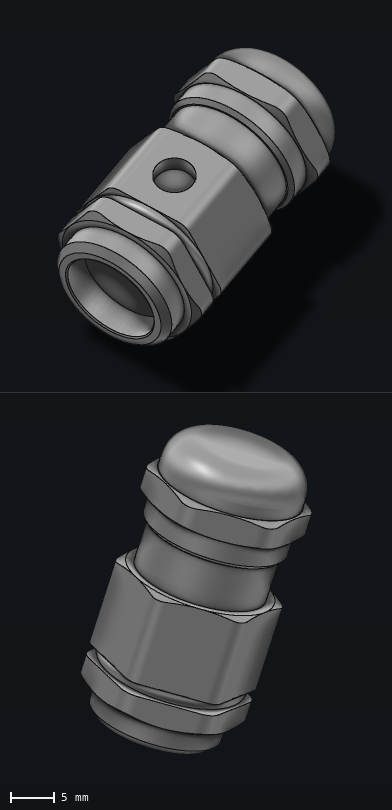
import cadquery as cq
import math


LOCKNUT_START = 3.5
LOCKNUT_END = 6.5
BODY_HEX_START = 8.0
BODY_HEX_END = 19.0
CAP_START = 24.66
CAP_HEX_START = 27.66
CAP_HEX_END = 31.2
TOTAL_LENGTH = 36.16

BARREL_DIAMETER = 16.0
BARREL_CHAMFER = 0.9
CAP_DIAMETER = 17.5
CAP_CHAMFER = 0.55
DOME_RADIUS = 3.5
SEAL_DIAMETER = 18.2
SEAL_CORD_RADIUS = 1.0

ACROSS_FLATS = 18.0
ACROSS_CORNERS = ACROSS_FLATS / math.cos(math.radians(30))
BODY_CORNER_RADIUS = 2.0
NUT_CORNER_RADIUS = 2.5
CAP_HEX_FACE_DIAMETER = 17.6
HEX_CHAMFER_ANGLE = 22.0
LOCKNUT_CHAMFER_ANGLE = 30.0

BORE_DIAMETER = 12.0
BORE_DEPTH = 3.67
BORE_CHAMFER = 0.18
SIDE_HOLE_DIAMETER = 5.0
SIDE_HOLE_DEPTH = 2.15
SIDE_HOLE_Y = 13.35


def plane_at(y):
    """XZ plane at station y whose normal points along +Y."""
    return cq.Plane(origin=(0, y, 0), xDir=(1, 0, 0), normal=(0, 1, 0))


def cylinder(diameter, start, end):
    """Solid cylinder on the Y axis between two stations."""
    return cq.Workplane(plane_at(start)).circle(diameter / 2).extrude(end - start)


def chamfer_envelope(start, end, face_diameter, angle, at_start, at_end):
    """Turned blank whose conical ends trim the corners of a hexagon."""
    face_radius = face_diameter / 2
    outer_radius = ACROSS_CORNERS / 2
    drop = (outer_radius - face_radius) * math.tan(math.radians(angle))
    profile = cq.Workplane("XY").moveTo(0, start)
    if at_start:
        profile = profile.lineTo(face_radius, start).lineTo(outer_radius, start + drop)
    else:
        profile = profile.lineTo(outer_radius, start)
    if at_end:
        profile = profile.lineTo(outer_radius, end - drop).lineTo(face_radius, end)
    else:
        profile = profile.lineTo(outer_radius, end)
    return profile.lineTo(0, end).close().revolve(360, (0, 0, 0), (0, 1, 0))


def hexagon(start, end, corner_radius, face_diameter, angle, at_start, at_end):
    """Hexagonal prism with rounded corners, flats facing +Z and -Z."""
    prism = (
        cq.Workplane(plane_at(start))
        .polygon(6, ACROSS_CORNERS)
        .extrude(end - start)
        .edges("|Y")
        .fillet(corner_radius)
    )
    return prism.intersect(chamfer_envelope(start, end, face_diameter, angle, at_start, at_end))


def barrel():
    """Round core of the gland, chamfered at the threaded end."""
    return cylinder(BARREL_DIAMETER, 0, CAP_START).faces("<Y").chamfer(BARREL_CHAMFER)


def cap():
    """Cap with a domed far end and a small chamfer facing the body."""
    blank = cylinder(CAP_DIAMETER, CAP_START, TOTAL_LENGTH)
    return blank.faces(">Y").edges().fillet(DOME_RADIUS).faces("<Y").edges().chamfer(CAP_CHAMFER)


def seal_ring():
    """O-ring resting on the locknut, its far side buried in the body hexagon."""
    centre_radius = SEAL_DIAMETER / 2 - SEAL_CORD_RADIUS
    centre_y = LOCKNUT_END + SEAL_CORD_RADIUS
    return (
        cq.Workplane("XY")
        .center(-centre_radius, centre_y)
        .circle(SEAL_CORD_RADIUS)
        .revolve(360, (centre_radius, 0, 0), (centre_radius, 1, 0))
    )


def bore():
    """Blind bore in the threaded end, with a slightly broken rim."""
    radius = BORE_DIAMETER / 2
    return (
        cq.Workplane("XY")
        .lineTo(radius + BORE_CHAMFER, 0)
        .lineTo(radius, BORE_CHAMFER)
        .lineTo(radius, BORE_DEPTH)
        .lineTo(0, BORE_DEPTH)
        .close()
        .revolve(360, (0, 0, 0), (0, 1, 0))
    )


def side_hole():
    """Blind round hole in the upper flat of the body hexagon."""
    return (
        cq.Workplane("XY", origin=(0, SIDE_HOLE_Y, ACROSS_FLATS / 2))
        .circle(SIDE_HOLE_DIAMETER / 2)
        .extrude(-SIDE_HOLE_DEPTH)
    )


locknut = hexagon(
    LOCKNUT_START, LOCKNUT_END, NUT_CORNER_RADIUS, ACROSS_FLATS, LOCKNUT_CHAMFER_ANGLE, True, False
)
body_hex = hexagon(
    BODY_HEX_START, BODY_HEX_END, BODY_CORNER_RADIUS, ACROSS_FLATS, HEX_CHAMFER_ANGLE, False, True
)
cap_hex = hexagon(
    CAP_HEX_START, CAP_HEX_END, NUT_CORNER_RADIUS, CAP_HEX_FACE_DIAMETER, HEX_CHAMFER_ANGLE, True, True
)

result = barrel()
for section in (locknut, seal_ring(), body_hex, cap(), cap_hex):
    result = result.union(section)
result = result.cut(bore()).cut(side_hole())